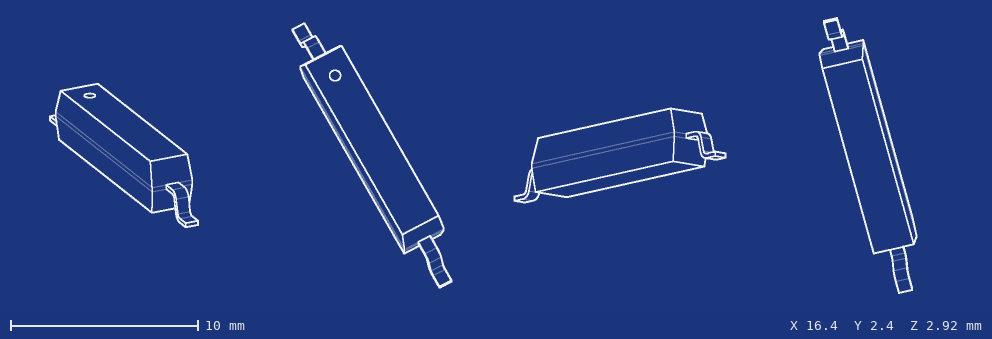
import cadquery as cq
import math

BELT_LENGTH = 11.63
BELT_WIDTH = 2.4
TOP_LENGTH = 10.81
BOTTOM_LENGTH = 11.22
FACE_WIDTH = 2.21
HEIGHT = 2.92
BELT_TOP_Z = 1.57

OVERALL_LENGTH = 16.38
STRIP_THICKNESS = 0.25
LEAD_WIDTH = 0.74
SHOULDER_END_X = 6.55
INNER_BEND_RADIUS = 0.25
BEND_ANGLE = math.radians(75)

MARKER_DIAMETER = 0.59
MARKER_DEPTH = 0.1
MARKER_X = -4.11

BELT_BOTTOM_Z = BELT_TOP_Z - STRIP_THICKNESS


def tapered_block(start_z, start_size, end_z, end_size):
    """Loft between two centred rectangles at different heights."""
    return (
        cq.Workplane("XY", origin=(0, 0, start_z))
        .rect(*start_size)
        .workplane(offset=end_z - start_z)
        .rect(*end_size)
        .loft(ruled=True)
    )


def make_marker():
    return (
        cq.Workplane("XY", origin=(MARKER_X, 0, HEIGHT - MARKER_DEPTH))
        .circle(MARKER_DIAMETER / 2)
        .extrude(MARKER_DEPTH)
    )


def make_housing(marker):
    belt_size = (BELT_LENGTH, BELT_WIDTH)
    lower = tapered_block(0, (BOTTOM_LENGTH, FACE_WIDTH), BELT_BOTTOM_Z, belt_size)
    belt = cq.Workplane("XY", origin=(0, 0, BELT_BOTTOM_Z)).rect(*belt_size).extrude(STRIP_THICKNESS)
    upper = tapered_block(BELT_TOP_Z, belt_size, HEIGHT, (TOP_LENGTH, FACE_WIDTH))
    return lower.union(belt).union(upper).cut(marker)


def make_lead():
    """Gull-wing lead on the +X end, swept along the middle of its strip."""
    bend_radius = INNER_BEND_RADIUS + STRIP_THICKNESS / 2
    foot_z = STRIP_THICKNESS / 2
    shoulder_z = BELT_TOP_Z - STRIP_THICKNESS / 2

    def bend_run(angle):
        return bend_radius * math.sin(angle)

    def bend_drop(angle):
        return bend_radius * (1 - math.cos(angle))

    leg_drop = shoulder_z - foot_z - 2 * bend_drop(BEND_ANGLE)
    leg_run = leg_drop / math.tan(BEND_ANGLE)
    foot_start_x = SHOULDER_END_X + 2 * bend_run(BEND_ANGLE) + leg_run

    def upper_bend(angle):
        return (SHOULDER_END_X + bend_run(angle), shoulder_z - bend_drop(angle))

    def lower_bend(angle):
        return (foot_start_x - bend_run(angle), foot_z + bend_drop(angle))

    path = (
        cq.Workplane("XZ")
        .moveTo(BELT_LENGTH / 2, shoulder_z)
        .lineTo(SHOULDER_END_X, shoulder_z)
        .threePointArc(upper_bend(BEND_ANGLE / 2), upper_bend(BEND_ANGLE))
        .lineTo(*lower_bend(BEND_ANGLE))
        .threePointArc(lower_bend(BEND_ANGLE / 2), (foot_start_x, foot_z))
        .lineTo(OVERALL_LENGTH / 2, foot_z)
    )
    return (
        cq.Workplane("YZ", origin=(BELT_LENGTH / 2, 0, shoulder_z))
        .rect(LEAD_WIDTH, STRIP_THICKNESS)
        .sweep(path)
    )


marker = make_marker()
housing = make_housing(marker)
leads = []
for turn in (0, 180):
    leads.append(make_lead().rotate((0, 0, 0), (0, 0, 1), turn))

result = cq.Compound.makeCompound([housing.val(), marker.val(), *[lead.val() for lead in leads]])